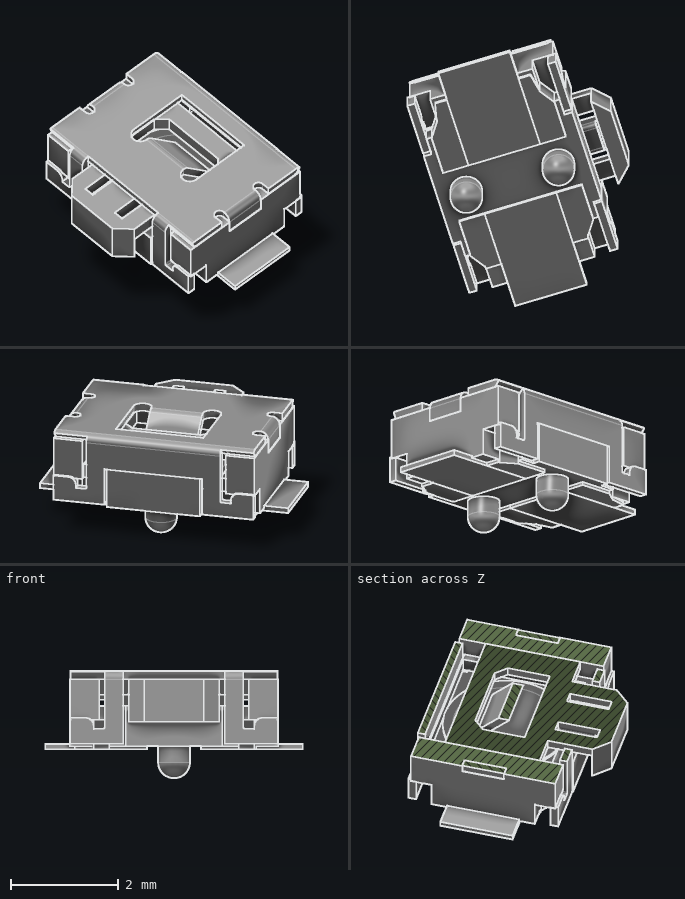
import cadquery as cq
import math


cover_top = 1.40
sheet = 0.15
housing_top = cover_top - sheet
floor_z = 0.75
plunger_bottom = 0.96
corner_bottom = 0.49

housing_half_x = 1.94
housing_half_y = 1.40
channel_half_x = 1.39
base_end_half_y = 1.00
base_half_y = 1.20
slant_outer_x = 1.50
slant_inner_x = 1.21
sill_half_x = 0.90
pad_bottom = -0.06
pad_outer_x = 1.535
pad_taper_x = 1.85
pad_taper_half_y = 0.93
pad_inner_x = 0.50
peg_radius = 0.30
peg_straight = 0.30
peg_y = 0.90

dome_center_y = 0.10
dome_rim_radius = 1.18
dome_cap_radius = 1.00
dome_cap_height = 0.08
dome_sheet = 0.04
pit_floor = corner_bottom
pit_half_x = 1.25

cover_half_x = 1.93
cover_half_y = 1.45
bend_line_y = cover_half_y - sheet
leg_inner_x = 0.95
leg_outer_x = 1.295
leg_bottom = 0.04
foot_bar_top = 0.32
foot_inner_x = slant_outer_x
foot_top = 0.525
foot_round = 0.14
leg_root_round = 0.03
front_lip_angle = 21.0
back_lip_angle = 45.0
tab_width = 0.80
tab_bottom = 0.99
tab_relief_width = 0.20
tab_relief_inner_x = 1.667
window_half_x = 0.845
window_back_y = 1.00
tongue_half_x = 0.50
tongue_root_y = -0.23
tongue_end_y = 0.505
tongue_angle = 45.0

plunger_front_y = -2.10
nose_back_y = -1.80
nose_bottom = 0.45
nose_chamfer = 0.29
arm_half_x = window_half_x
body_front_y = -0.95
body_back_y = 0.895
opening_back_y = 0.505
opening_front_y = -0.50
opening_half_x = 0.86
opening_chamfer = 0.20
slot_inner_x = 0.30
slot_outer_x = 0.50
slot_back_y = -1.00
rib_front_y = -1.71
rib_depth = 0.10
skid_width = 0.15
skid_front_y = -0.80

terminal_tip_x = 2.40
terminal_inner_x = pad_inner_x
terminal_sheet = 0.10
terminal_half_y = 0.70


def box(x0, x1, y0, y1, z0, z1):
    """Box between two opposite corners."""
    return cq.Workplane("XY").box(x1 - x0, y1 - y0, z1 - z0, centered=False).translate((x0, y0, z0))


def make_terminal():
    """Flat terminal strip on the -X side; its inner part lies in the housing pad."""
    return box(
        -terminal_tip_x,
        -terminal_inner_x,
        -terminal_half_y,
        terminal_half_y,
        pad_bottom,
        pad_bottom + terminal_sheet,
    )


def make_flange(width, edge_y, bottom):
    """Sheet bent down over the edge at -edge_y, centred on X = 0."""
    return (
        cq.Workplane("YZ")
        .moveTo(-edge_y + sheet, housing_top)
        .lineTo(-edge_y + sheet, cover_top)
        .radiusArc((-edge_y, housing_top), -sheet)
        .lineTo(-edge_y, bottom)
        .lineTo(-edge_y + sheet, bottom)
        .close()
        .extrude(width / 2, both=True)
    )


def make_lip(angle):
    """Start of a bend along the full -Y edge, cut off square to the sheet after the given angle."""
    turn = math.radians(angle)
    end = (-bend_line_y - sheet * math.sin(turn), housing_top + sheet * math.cos(turn))
    return (
        cq.Workplane("YZ")
        .moveTo(-bend_line_y, housing_top)
        .lineTo(-bend_line_y, cover_top)
        .radiusArc(end, -sheet)
        .close()
        .extrude(cover_half_x, both=True)
    )


def make_foot():
    """Foot at the bottom of the -X front leg: a bar running outward, raised at its end."""
    foot = (
        cq.Workplane("XZ", origin=(0, -bend_line_y, 0))
        .moveTo(-leg_inner_x, leg_bottom)
        .lineTo(-cover_half_x, leg_bottom)
        .lineTo(-cover_half_x, foot_top)
        .lineTo(-foot_inner_x - foot_round, foot_top)
        .radiusArc((-foot_inner_x, foot_top - foot_round), foot_round)
        .lineTo(-foot_inner_x, foot_bar_top)
        .lineTo(-leg_outer_x - leg_root_round, foot_bar_top)
        .radiusArc((-leg_outer_x, foot_bar_top + leg_root_round), -leg_root_round)
        .lineTo(-leg_inner_x, foot_bar_top + leg_root_round)
        .close()
        .extrude(sheet)
    )
    step = box(
        -cover_half_x, -foot_inner_x, -housing_half_y, -bend_line_y, corner_bottom, foot_top
    )
    return foot.cut(step)


def make_tongue():
    """Spring tongue bent down out of the cover window, sloping toward +Y with a square-cut tip."""
    turn = math.radians(tongue_angle)
    across = (sheet * math.sin(turn), sheet * math.cos(turn))
    bend_end = (tongue_root_y + across[0], housing_top + across[1])
    upper_tip = (tongue_end_y, bend_end[1] - (tongue_end_y - bend_end[0]) * math.tan(turn))
    lower_tip = (upper_tip[0] - across[0], upper_tip[1] - across[1])
    return (
        cq.Workplane("YZ")
        .moveTo(tongue_root_y, housing_top)
        .lineTo(tongue_root_y, cover_top)
        .radiusArc(bend_end, sheet)
        .lineTo(*upper_tip)
        .lineTo(*lower_tip)
        .close()
        .extrude(tongue_half_x, both=True)
    )


def cut_window(plate):
    """Window in the top plate with a round-ended slot along each side of the tongue."""
    plate = plate.cut(
        box(-window_half_x, window_half_x, tongue_root_y, window_back_y, housing_top, cover_top)
    )
    slot_center_x = (window_half_x + tongue_half_x) / 2
    slot_ends = (
        cq.Workplane("XY")
        .workplane(offset=housing_top)
        .pushPoints([(-slot_center_x, tongue_root_y), (slot_center_x, tongue_root_y)])
        .circle((window_half_x - tongue_half_x) / 2)
        .extrude(sheet)
    )
    return plate.cut(slot_ends)


def cut_tab_reliefs(plate):
    """Round-ended relief slots beside each side tab, with the plate cleared for the tab bend."""
    relief_y = (tab_width + tab_relief_width) / 2
    bend_half_y = tab_width / 2
    slot_length = 2 * (cover_half_x - tab_relief_inner_x)
    for side in (-1, 1):
        reliefs = (
            cq.Workplane("XY")
            .workplane(offset=housing_top)
            .pushPoints([(side * cover_half_x, -relief_y), (side * cover_half_x, relief_y)])
            .slot2D(slot_length, tab_relief_width)
            .extrude(sheet)
        )
        bend_x = sorted((side * cover_half_x, side * (cover_half_x - sheet)))
        bend_gap = box(bend_x[0], bend_x[1], -bend_half_y, bend_half_y, housing_top, cover_top)
        plate = plate.cut(reliefs).cut(bend_gap)
    return plate


def make_cover():
    """Sheet-metal cover: top plate, legs, back wall, feet, side tabs and tongue."""
    cover = box(-cover_half_x, cover_half_x, -bend_line_y, bend_line_y, housing_top, cover_top)
    cover = cut_tab_reliefs(cut_window(cover)).union(make_tongue())

    nose_gap = box(-leg_inner_x, leg_inner_x, -cover_half_y, -bend_line_y, housing_top, cover_top)
    cover = cover.union(make_lip(front_lip_angle).cut(nose_gap))
    cover = cover.union(make_lip(back_lip_angle).rotate((0, 0, 0), (0, 0, 1), 180))

    leg = make_flange(leg_outer_x - leg_inner_x, cover_half_y, leg_bottom)
    leg_x = (leg_outer_x + leg_inner_x) / 2
    for x in (-leg_x, leg_x):
        front_leg = leg.translate((x, 0, 0))
        cover = cover.union(front_leg).union(front_leg.mirror("XZ"))
    back_wall = make_flange(2 * leg_outer_x, cover_half_y, floor_z)
    cover = cover.union(back_wall.mirror("XZ"))

    left_foot = make_foot()
    front_feet = left_foot.union(left_foot.mirror("YZ"))
    cover = cover.union(front_feet).union(front_feet.mirror("XZ"))

    tab = make_flange(tab_width, cover_half_x, tab_bottom)
    for turn in (-90, 90):
        cover = cover.union(tab.rotate((0, 0, 0), (0, 0, 1), turn))
    return cover


def make_base():
    """Lower part of the housing, with slanted and stepped corners that clear the cover feet."""
    quarter = [
        (housing_half_x, base_end_half_y),
        (slant_outer_x, base_end_half_y),
        (slant_inner_x, base_half_y),
        (slant_inner_x, bend_line_y),
    ]
    outline = quarter + [(-x, y) for x, y in reversed(quarter)]
    outline += [(-x, -y) for x, y in quarter] + [(x, -y) for x, y in reversed(quarter)]
    return cq.Workplane("XY").polyline(outline).close().extrude(corner_bottom)


def make_pad(taper=()):
    """Thin pad under the +X half of the base, with the given extra corners at its outer end."""
    half = [
        (pad_inner_x, base_half_y),
        (slant_inner_x, base_half_y),
        (slant_outer_x, base_end_half_y),
        (pad_outer_x, base_end_half_y),
        *taper,
    ]
    outline = half + [(x, -y) for x, y in reversed(half)]
    return cq.Workplane("XY").polyline(outline).close().extrude(pad_bottom)


def make_peg(y):
    """Round-ended locating peg under the housing."""
    return (
        cq.Workplane("XZ", origin=(0, y, 0))
        .lineTo(peg_radius, 0)
        .lineTo(peg_radius, -peg_straight)
        .radiusArc((0, -peg_straight - peg_radius), peg_radius)
        .close()
        .revolve(360, (0, 0), (0, 1))
    )


def make_housing(neighbours):
    """Moulded housing, recessed where the neighbouring bodies sit in it."""
    housing = make_base()
    housing = housing.union(
        box(-housing_half_x, housing_half_x, -bend_line_y, bend_line_y, corner_bottom, floor_z)
    )
    wall = box(channel_half_x, housing_half_x, -housing_half_y, housing_half_y, corner_bottom, housing_top)
    housing = housing.union(wall).union(wall.mirror("YZ"))
    housing = housing.union(box(-sill_half_x, sill_half_x, -cover_half_y, cover_half_y, 0, floor_z))
    pit_front_y = dome_center_y - dome_rim_radius
    pit_back_y = dome_center_y + dome_rim_radius
    housing = housing.cut(box(-pit_half_x, pit_half_x, pit_front_y, pit_back_y, pit_floor, floor_z))
    for side in (-1, 1):
        recess_x = sorted((side * (cover_half_x - sheet), side * housing_half_x))
        housing = housing.cut(
            box(recess_x[0], recess_x[1], -tab_width / 2, tab_width / 2, tab_bottom, housing_top)
        )
    housing = housing.union(make_pad())
    housing = housing.union(make_pad([(pad_taper_x, pad_taper_half_y)]).mirror("YZ"))
    for y in (-peg_y, peg_y):
        housing = housing.union(make_peg(y))
    for body in neighbours:
        housing = housing.cut(body)
    return housing


def make_dome():
    """Thin snap dome with a flat rim, resting on the pit floor."""
    rim_top = pit_floor + dome_sheet
    cap_radius = (dome_cap_radius**2 + dome_cap_height**2) / (2 * dome_cap_height)
    under_radius = cap_radius - dome_sheet
    center_z = rim_top + dome_cap_height - cap_radius
    under_edge = math.sqrt(under_radius**2 - (pit_floor - center_z) ** 2)
    return (
        cq.Workplane("XZ", origin=(0, dome_center_y, 0))
        .moveTo(0, center_z + under_radius)
        .lineTo(0, center_z + cap_radius)
        .radiusArc((dome_cap_radius, rim_top), cap_radius)
        .lineTo(dome_rim_radius, rim_top)
        .lineTo(dome_rim_radius, pit_floor)
        .lineTo(under_edge, pit_floor)
        .radiusArc((0, center_z + under_radius), -under_radius)
        .close()
        .revolve(360, (0, 0), (0, 1))
    )


def make_plunger():
    """Sliding plunger: plate with opening, arm with two slots, hanging nose, rib and side skids."""
    plunger = box(
        -channel_half_x, channel_half_x, body_front_y, body_back_y, plunger_bottom, housing_top
    )
    plunger = plunger.union(
        box(-arm_half_x, arm_half_x, nose_back_y, body_front_y, plunger_bottom, housing_top)
    )
    nose = box(-arm_half_x, arm_half_x, plunger_front_y, nose_back_y, nose_bottom, housing_top)
    plunger = plunger.union(nose.edges("|Z and <Y").chamfer(nose_chamfer))

    opening = box(
        -opening_half_x, opening_half_x, opening_front_y, opening_back_y, plunger_bottom, housing_top
    )
    plunger = plunger.cut(opening.edges("|Z and >Y").chamfer(opening_chamfer))

    slot = box(slot_inner_x, slot_outer_x, nose_back_y, slot_back_y, plunger_bottom, housing_top)
    plunger = plunger.cut(slot).cut(slot.mirror("YZ"))

    rib_bottom = plunger_bottom - rib_depth
    rib = (
        cq.Workplane("XZ", origin=(0, slot_back_y, 0))
        .moveTo(-slot_inner_x, plunger_bottom)
        .lineTo(slot_inner_x, plunger_bottom)
        .radiusArc((slot_inner_x - rib_depth, rib_bottom), rib_depth)
        .lineTo(-slot_inner_x + rib_depth, rib_bottom)
        .radiusArc((-slot_inner_x, plunger_bottom), rib_depth)
        .close()
        .extrude(slot_back_y - rib_front_y)
    )
    plunger = plunger.union(rib)

    skid = box(
        channel_half_x - skid_width, channel_half_x, skid_front_y, body_back_y, rib_bottom, plunger_bottom
    )
    return plunger.union(skid).union(skid.mirror("YZ"))


cover = make_cover()
plunger = make_plunger()
dome = make_dome()
left_terminal = make_terminal()
terminals = [left_terminal.rotate((0, 0, 0), (0, 0, 1), turn) for turn in (0, 180)]
housing = make_housing([cover, *terminals])

bodies = [housing, cover, plunger, dome, *terminals]
result = cq.Compound.makeCompound([body.solids().val() for body in bodies])